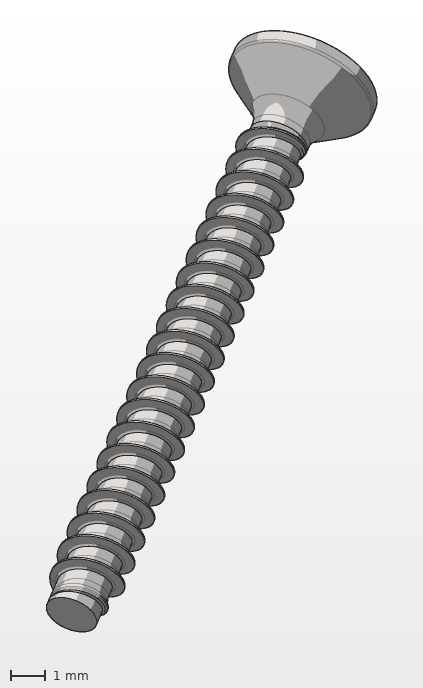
import cadquery as cq
import math


length = 20.0
head_radius = 2.2
rim_depth = 0.38
rim_fillet = 0.12

neck_radius = 0.88
neck_end = 2.28
neck_fillet = 0.8
core_start = 2.52

core_diameter = 1.55
core_radius = core_diameter / 2
thread_start = 2.15
thread_end = 19.8
turn_count = 20.75
pitch = (thread_end - thread_start) / turn_count
lead_in = 0.75 * pitch
run_out = 1.25 * pitch
reference_depth = 2.38

crest_radius = 1.1
shoulder_radius = 0.85
ramp_radius = 0.82
crest_half_width = 0.03
ramp_top = -0.15
ramp_foot = -0.45
shoulder_offset = 0.1
root_offset = 0.18
ramp_sink = 0.02
root_sink = 0.05
steps_per_piece = 24


def fillet_circle(body, depth, radius):
    """Round the circular edge that is centred on the axis at the given depth."""
    circle = cq.selectors.NearestToPointSelector((0, -depth, 0))
    return body.edges(circle).fillet(radius)


def make_blank():
    """Head, neck and core turned as one profile."""
    cone_end = rim_depth + head_radius - neck_radius
    blank = (
        cq.Workplane("XY")
        .moveTo(0, 0)
        .lineTo(head_radius, 0)
        .lineTo(head_radius, -rim_depth)
        .lineTo(neck_radius, -cone_end)
        .lineTo(neck_radius, -neck_end)
        .lineTo(core_radius, -core_start)
        .lineTo(core_radius, -length)
        .lineTo(0, -length)
        .close()
        .revolve(360, (0, 0, 0), (0, 1, 0))
    )
    blank = fillet_circle(blank, rim_depth, rim_fillet)
    return fillet_circle(blank, cone_end, neck_fillet)


def thread_limit_radius(depth):
    """Largest thread radius at a depth: it rises along the lead-in and falls along the run-out."""
    share = min(1.0, (depth - thread_start) / lead_in, (thread_end - depth) / run_out)
    lowest_radius = core_radius - ramp_sink
    return lowest_radius + (crest_radius - lowest_radius) * share


def thread_curve(radius, axial_offset, start, end):
    """Helical edge of the thread between two depths, held below the limit radius."""
    points = []
    for step in range(steps_per_piece + 1):
        depth = start + (end - start) * step / steps_per_piece
        angle = 2 * math.pi * (depth - reference_depth) / pitch
        local_radius = min(radius, thread_limit_radius(depth))
        points.append(cq.Vector(
            local_radius * math.cos(angle),
            -depth - axial_offset,
            local_radius * math.sin(angle),
        ))
    return cq.Edge.makeSpline(points)


def make_thread_piece(start, end):
    """Closed solid ruled between the helical edges of the thread section."""
    section = [
        (core_radius - ramp_sink, ramp_foot),
        (ramp_radius, ramp_top),
        (crest_radius, -crest_half_width),
        (crest_radius, crest_half_width),
        (shoulder_radius, shoulder_offset),
        (core_radius - root_sink, root_offset),
    ]
    curves = [thread_curve(radius, offset, start, end) for radius, offset in section]
    faces = []
    for first, second in zip(curves, curves[1:] + curves[:1]):
        faces.append(cq.Face.makeRuledSurface(first, second))
    for position in (0, 1):
        corners = [curve.positionAt(position) for curve in curves]
        faces.append(cq.Face.makeFromWires(cq.Wire.makePolygon(corners, close=True)))
    return cq.Solid.makeSolid(cq.Shell.makeShell(faces))


def make_thread():
    """Thread built as equal pieces of about one turn, joined end to end."""
    piece_count = math.ceil(turn_count)
    piece_depth = (thread_end - thread_start) / piece_count
    pieces = []
    for index in range(piece_count):
        start = thread_start + index * piece_depth
        pieces.append(make_thread_piece(start, start + piece_depth))
    return pieces


blank = make_blank().val()
screw = blank.fuse(*make_thread())
result = cq.Workplane(obj=screw.Solids()[0])